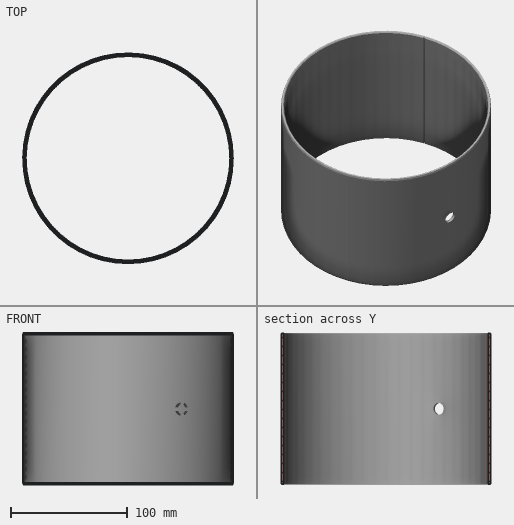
import cadquery as cq

outer_diameter = 180.0
height = 130.0
wall = 2.5
outer_radius = outer_diameter / 2
inner_radius = outer_radius - wall

taper_height = 1.6
taper_depth = 0.5

bore_chamfer = 0.7

split_width = 1.0
split_center_y = 0.9

hole_diameter = 10.0
hole_angle = 59.0


def make_tube():
    """Revolve the wall section, with both rims tapered outside and chamfered inside."""
    half_height = height / 2
    outer_rim_radius = outer_radius - taper_depth
    bore_rim_radius = inner_radius + bore_chamfer
    taper_start = half_height - taper_height
    chamfer_start = half_height - bore_chamfer
    section = [
        (bore_rim_radius, -half_height),
        (outer_rim_radius, -half_height),
        (outer_radius, -taper_start),
        (outer_radius, taper_start),
        (outer_rim_radius, half_height),
        (bore_rim_radius, half_height),
        (inner_radius, chamfer_start),
        (inner_radius, -chamfer_start),
    ]
    return cq.Workplane("XZ").polyline(section).close().revolve(360, (0, 0), (0, 1))


def make_split():
    """Full-height slit cutter that reaches from the axis out past the -X wall."""
    return (
        cq.Workplane("XY")
        .box(outer_diameter, split_width, height)
        .translate((-outer_radius, split_center_y, 0))
    )


def make_hole():
    """Radial cutter that starts on the axis and crosses one wall only."""
    return (
        cq.Workplane("YZ")
        .circle(hole_diameter / 2)
        .extrude(outer_diameter)
        .rotate((0, 0, 0), (0, 0, 1), hole_angle)
    )


result = make_tube().cut(make_split()).cut(make_hole())